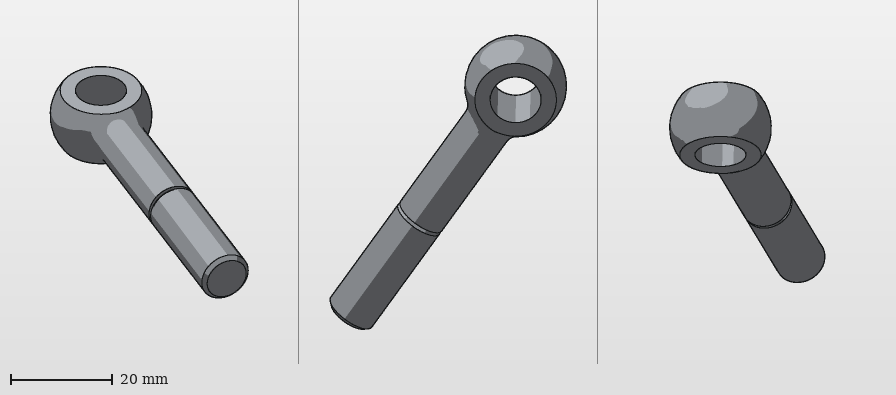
import cadquery as cq
import math

ball_radius = 10.0
eye_height = 12.0
bore_diameter = 10.0

overall_length = 70.0
shank_radius = 5.0
neck_fillet = 4.0
thread_length = 26.0
thread_chamfer = 0.8

shank_end = overall_length - ball_radius
thread_start = shank_end - thread_length
chamfered_radius = shank_radius - thread_chamfer

fillet_center_y = shank_radius + neck_fillet
fillet_center_x = math.sqrt((ball_radius + neck_fillet) ** 2 - fillet_center_y**2)
ball_share = ball_radius / (ball_radius + neck_fillet)
ball_tangent = (fillet_center_x * ball_share, fillet_center_y * ball_share)
shank_tangent = (fillet_center_x, shank_radius)

ball_direction = math.atan2(-fillet_center_y, -fillet_center_x)
shank_direction = -math.pi / 2
mid_direction = (ball_direction + shank_direction) / 2
fillet_middle = (
    fillet_center_x + neck_fillet * math.cos(mid_direction),
    fillet_center_y + neck_fillet * math.sin(mid_direction),
)


def turned_body():
    """Ball, filleted neck and chamfered thread section, revolved about X."""
    profile = (
        cq.Workplane("XY")
        .moveTo(-ball_radius, 0)
        .threePointArc((0, ball_radius), ball_tangent)
        .threePointArc(fillet_middle, shank_tangent)
        .lineTo(thread_start, shank_radius)
        .lineTo(thread_start, chamfered_radius)
        .lineTo(thread_start + thread_chamfer, shank_radius)
        .lineTo(shank_end - thread_chamfer, shank_radius)
        .lineTo(shank_end, chamfered_radius)
        .lineTo(shank_end, 0)
        .close()
    )
    return profile.revolve(360, (0, 0, 0), (1, 0, 0))


def flatten_eye(body):
    """Trim the body to the eye height, leaving flats above and below."""
    width = 2 * ball_radius
    slab = cq.Workplane("XY").box(overall_length, width, eye_height)
    return body.intersect(slab.translate((overall_length / 2 - ball_radius, 0, 0)))


def bore_eye(body):
    """Cut the cross bore through the eye along Z."""
    bore = cq.Workplane("XY").circle(bore_diameter / 2).extrude(eye_height, both=True)
    return body.cut(bore)


result = bore_eye(flatten_eye(turned_body()))